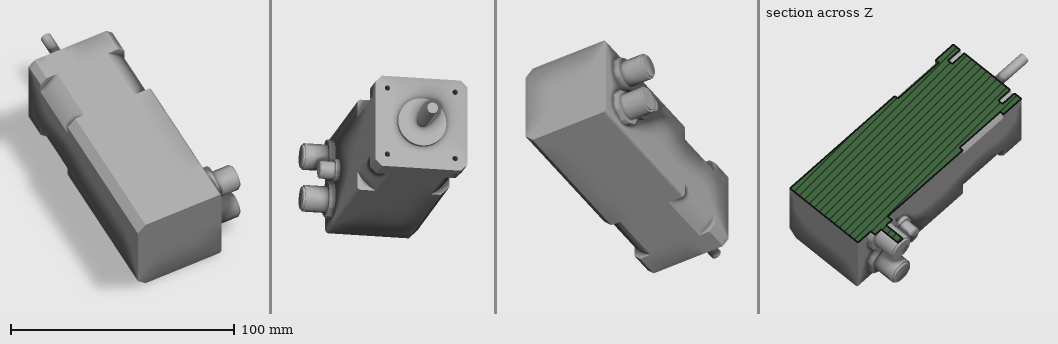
import cadquery as cq
import math


total_length = 130.4
total_depth = 56.3
body_width = 42.2
half_width = body_width / 2

body_length = 106.4
body_chamfer = 3.9
connector_side_fillet = 1.5

flange_length = 11.7
flange_chamfer = 3.0
relief_length = 26.3
relief_edge_inset = 8.3
relief_end = flange_length + relief_length

shaft_diameter = 5.0
shaft_length = total_length - body_length
pilot_diameter = 22.0
pilot_height = 2.1
mount_hole_diameter = 2.5
mount_hole_pitch = 31.0
mount_hole_depth = 7.8

large_connector_x = body_length - 14.0
large_connector_offset = 9.8
large_connector_reach = total_depth - body_width
large_nut_flats = 15.6
large_nut_corner_diameter = 16.5
large_nut_height = 2.7
large_barrel_diameter = 12.0
large_tip_diameter = 10.4
large_tip_height = 0.9

small_connector_x = body_length - 27.0
small_connector_reach = 8.7
small_nut_flats = 10.4
small_nut_corner_diameter = 10.7
small_nut_height = 2.0
small_barrel_diameter = 8.0
small_tip_diameter = 7.0
small_tip_height = 0.4


def square_bar(start, end):
    """Full-width square bar between two stations on the motor axis."""
    return cq.Workplane("YZ", origin=(start, 0, 0)).rect(body_width, body_width).extrude(end - start)


def axial_cylinder(diameter, start, end):
    """Round bar between two stations on the motor axis."""
    return cq.Workplane("YZ", origin=(start, 0, 0)).circle(diameter / 2).extrude(end - start)


def make_flange():
    return square_bar(0, flange_length).edges("|X").chamfer(flange_chamfer)


def make_relieved_section():
    """Square section whose corners are rounded down to a cylinder."""
    relief_diameter = 2 * math.hypot(half_width, half_width - relief_edge_inset)
    core = axial_cylinder(relief_diameter, flange_length, relief_end)
    return square_bar(flange_length, relief_end).intersect(core)


def make_housing():
    housing = square_bar(relief_end, body_length)
    housing = housing.edges("|X and <Y").chamfer(body_chamfer)
    return housing.edges("|X and >Y").fillet(connector_side_fillet)


def make_mount_holes():
    """Blind holes on a square pattern in the mounting face."""
    pattern = cq.Workplane("YZ").rect(mount_hole_pitch, mount_hole_pitch, forConstruction=True)
    return pattern.vertices().circle(mount_hole_diameter / 2).extrude(mount_hole_depth)


def side_cylinder(x, z, diameter, height):
    """Round bar standing on the +Y side of the body."""
    return cq.Workplane("XZ", origin=(x, half_width, z)).circle(diameter / 2).extrude(-height)


def make_nut(x, z, flats, corner_diameter, height, turn):
    """Hex nut with rounded corners; at zero turn two of its flats face along X."""
    plane = cq.Workplane("XZ", origin=(x, half_width, z)).transformed(rotate=(0, 0, turn))
    hexagon = plane.polygon(6, flats, circumscribed=True).extrude(-height)
    return hexagon.intersect(side_cylinder(x, z, corner_diameter, height))


def make_large_connector(z):
    x = large_connector_x
    nut = make_nut(x, z, large_nut_flats, large_nut_corner_diameter, large_nut_height, turn=0)
    barrel = side_cylinder(x, z, large_barrel_diameter, large_connector_reach - large_tip_height)
    tip = side_cylinder(x, z, large_tip_diameter, large_connector_reach)
    return nut.union(barrel).union(tip)


def make_small_connector():
    x = small_connector_x
    nut = make_nut(x, 0, small_nut_flats, small_nut_corner_diameter, small_nut_height, turn=30)
    barrel = side_cylinder(x, 0, small_barrel_diameter, small_connector_reach - small_tip_height)
    tip = side_cylinder(x, 0, small_tip_diameter, small_connector_reach)
    return nut.union(barrel).union(tip)


result = make_flange().union(make_relieved_section()).union(make_housing())
result = result.union(axial_cylinder(pilot_diameter, -pilot_height, 0))
result = result.union(axial_cylinder(shaft_diameter, -shaft_length, 0))
result = result.cut(make_mount_holes())

for offset in (-large_connector_offset, large_connector_offset):
    result = result.union(make_large_connector(offset))
result = result.union(make_small_connector())